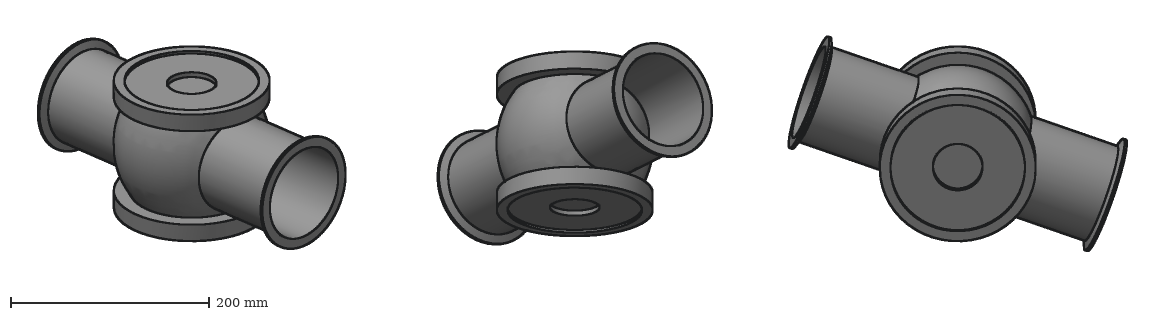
import cadquery as cq
import math

length = 320.0
half_length = length / 2

pipe_diameter = 101.5
bore_diameter = 97.5
ferrule_diameter = 119.0
ferrule_rim = 2.5
ferrule_thickness = 6.0

body_diameter = 158.0
neck_diameter = 124.8
ball_diameter = body_diameter

height = 142.0
flange_diameter = 157.5
flange_thickness = 18.5
recess_diameter = 135.7
recess_depth = 3.0
socket_diameter = 50.0
socket_depth = 5.5


def make_body():
    """Barrel revolved about Z, with an arc for its side."""
    neck_height = height / 2 - flange_thickness
    return (
        cq.Workplane("XZ")
        .moveTo(0, -neck_height)
        .lineTo(neck_diameter / 2, -neck_height)
        .threePointArc((body_diameter / 2, 0), (neck_diameter / 2, neck_height))
        .lineTo(0, neck_height)
        .close()
        .revolve(360, (0, 0, 0), (0, 1, 0))
    )


def make_pipe():
    """Pipe along X with a tapered ferrule at each end, revolved as one profile."""
    rim_start = half_length - ferrule_rim
    taper_start = half_length - ferrule_thickness
    half_pipe = (
        cq.Workplane("XY")
        .polyline([
            (0, 0),
            (0, pipe_diameter / 2),
            (taper_start, pipe_diameter / 2),
            (rim_start, ferrule_diameter / 2),
            (half_length, ferrule_diameter / 2),
            (half_length, 0),
        ])
        .close()
        .revolve(360, (0, 0, 0), (1, 0, 0))
    )
    return half_pipe.union(half_pipe.mirror("YZ"))


def make_flange():
    """Upper flange with a shallow round recess and a central socket in its floor."""
    top = height / 2
    floor = top - recess_depth
    disc = (
        cq.Workplane("XY")
        .workplane(offset=top - flange_thickness)
        .circle(flange_diameter / 2)
        .extrude(flange_thickness)
    )
    recess = cq.Workplane("XY").workplane(offset=floor).circle(recess_diameter / 2).extrude(recess_depth)
    socket = (
        cq.Workplane("XY")
        .workplane(offset=floor - socket_depth)
        .circle(socket_diameter / 2)
        .extrude(socket_depth)
    )
    return disc.cut(recess).cut(socket)


def make_bores():
    """Bore entering from each end and stopping against a ball in the middle."""
    bore_radius = bore_diameter / 2
    ball_radius = ball_diameter / 2
    contact = math.sqrt(ball_radius**2 - bore_radius**2)
    mid_angle = math.asin(bore_radius / ball_radius) / 2
    bore = (
        cq.Workplane("XY")
        .moveTo(half_length, 0)
        .lineTo(half_length, bore_radius)
        .lineTo(contact, bore_radius)
        .threePointArc(
            (ball_radius * math.cos(mid_angle), ball_radius * math.sin(mid_angle)),
            (ball_radius, 0),
        )
        .close()
        .revolve(360, (0, 0, 0), (1, 0, 0))
    )
    return bore.union(bore.mirror("YZ"))


upper_flange = make_flange()
lower_flange = upper_flange.mirror("XY")
result = make_body().union(make_pipe()).union(upper_flange).union(lower_flange).cut(make_bores())